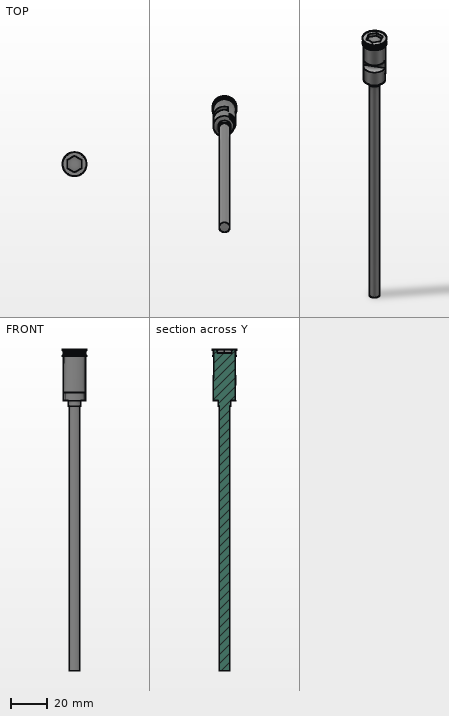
import cadquery as cq
import math

total_length = 178.5
rod_diameter = 6.0
rod_length = 147.0
collar_diameter = 7.0
collar_length = 3.0
head_diameter = 12.5

rim_diameter = 13.5
top_rim_thickness = 0.5
lower_rim_depth = 3.9
lower_rim_thickness = 0.6
ring_groove_depth = 1.9
ring_groove_width = 0.5
ring_groove_diameter = 12.0

hex_across_flats = 8.0
hex_depth = 2.0

slot_top_depth = 14.5
slot_height = 5.0
slot_floor_y = 0.6

relief_diameter = 10.65
relief_height = 4.75
relief_bevel = 0.3
flank_angle = 17.0

head_bottom = rod_length + collar_length


def make_turned_body():
    """Rod, collar, head and rims as one revolved profile."""
    rod_radius = rod_diameter / 2
    collar_radius = collar_diameter / 2
    head_radius = head_diameter / 2
    rim_radius = rim_diameter / 2
    rim_bevel = rim_radius - head_radius
    lower_rim_bottom = total_length - lower_rim_depth
    lower_rim_top = lower_rim_bottom + lower_rim_thickness
    lower_rim_middle = lower_rim_bottom + lower_rim_thickness / 2
    rounding_start = rim_radius - lower_rim_thickness / 2
    profile = (
        cq.Workplane("XZ")
        .lineTo(rod_radius, 0)
        .lineTo(rod_radius, rod_length)
        .lineTo(collar_radius, rod_length)
        .lineTo(collar_radius, head_bottom)
        .lineTo(head_radius, head_bottom)
        .lineTo(head_radius, lower_rim_bottom)
        .lineTo(rounding_start, lower_rim_bottom)
        .threePointArc((rim_radius, lower_rim_middle), (rounding_start, lower_rim_top))
        .lineTo(head_radius, lower_rim_top)
        .lineTo(head_radius, total_length - top_rim_thickness - rim_bevel)
        .lineTo(rim_radius, total_length - top_rim_thickness)
        .lineTo(rim_radius, total_length)
        .lineTo(0, total_length)
        .close()
    )
    return profile.revolve(360, (0, 0, 0), (0, 1, 0))


def make_ring_groove():
    """Thin ring cut between the two rims."""
    groove_bottom = total_length - ring_groove_depth - ring_groove_width
    return (
        cq.Workplane("XY", origin=(0, 0, groove_bottom))
        .circle(rim_diameter / 2)
        .circle(ring_groove_diameter / 2)
        .extrude(ring_groove_width)
    )


def make_hex_socket():
    """Hexagonal prism with two corners on the Y axis."""
    across_corners = hex_across_flats / math.cos(math.radians(30))
    return (
        cq.Workplane("XY", origin=(0, 0, total_length - hex_depth))
        .transformed(rotate=(0, 0, 90))
        .polygon(6, across_corners)
        .extrude(hex_depth)
    )


def make_cross_slot():
    """Block that opens the +Y side of the head across its whole width in X."""
    slot_bottom = total_length - slot_top_depth - slot_height
    return cq.Workplane("XY", origin=(0, slot_floor_y, slot_bottom)).box(
        rim_diameter, rim_diameter, slot_height, centered=(True, False, False)
    )


def make_foot_relief():
    """Cutter that narrows the -Y half of the head's foot.

    The remaining foot is round, and a hollow flank on each side sweeps from it
    out to the head's surface at Y = 0. The relief ends upward in a 45 degree bevel.
    """
    head_radius = head_diameter / 2
    relief_radius = relief_diameter / 2
    angle = math.radians(flank_angle)

    reach = head_radius * math.cos(angle)
    flank_radius = (relief_radius**2 + head_radius**2 - 2 * relief_radius * reach) / (
        2 * (reach - relief_radius)
    )
    center_distance = relief_radius + flank_radius
    center_x = center_distance * math.cos(angle)
    center_y = -center_distance * math.sin(angle)
    touch_x = relief_radius * math.cos(angle)
    touch_y = -relief_radius * math.sin(angle)

    outer_end_angle = math.atan2(-center_y, head_radius - center_x)
    touch_angle = math.pi - angle
    middle_angle = (outer_end_angle + touch_angle) / 2
    middle_x = center_x + flank_radius * math.cos(middle_angle)
    middle_y = center_y + flank_radius * math.sin(middle_angle)

    cutter = (
        cq.Workplane("XY", origin=(0, 0, head_bottom))
        .moveTo(-head_radius, 0)
        .threePointArc((-middle_x, middle_y), (-touch_x, touch_y))
        .threePointArc((0, -relief_radius), (touch_x, touch_y))
        .threePointArc((middle_x, middle_y), (head_radius, 0))
        .lineTo(rim_diameter, 0)
        .lineTo(rim_diameter, -rim_diameter)
        .lineTo(-rim_diameter, -rim_diameter)
        .lineTo(-rim_diameter, 0)
        .close()
        .extrude(relief_height)
    )
    bevel_cone = cq.Workplane("XY").add(
        cq.Solid.makeCone(
            head_radius - relief_bevel,
            head_radius,
            relief_bevel,
            pnt=cq.Vector(0, 0, head_bottom + relief_height - relief_bevel),
        )
    )
    return cutter.cut(bevel_cone)


result = (
    make_turned_body()
    .cut(make_ring_groove())
    .cut(make_hex_socket())
    .cut(make_cross_slot())
    .cut(make_foot_relief())
)